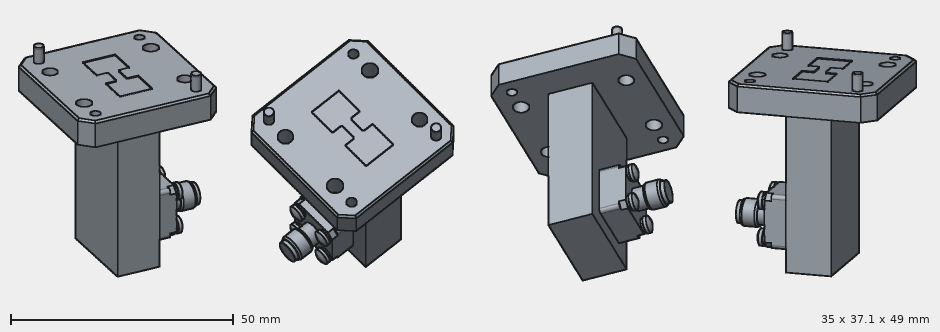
import cadquery as cq

total_height = 49.0

plate_side = 35.0
plate_thickness = 6.5
plate_corner_cut = 3.0
plate_edge_chamfer = 0.5
pin_height = 4.0
plate_top = total_height - pin_height
plate_bottom = plate_top - plate_thickness

hole_row_y = 12.7
pin_x = 13.95
pin_diameter = 2.35
pin_tip_height = 0.3
pin_tip_inset = 0.075
bolt_x = 8.4
large_bolt_diameter = 3.7
small_bolt_diameter = 3.55

window_width = 18.38
window_height = 8.2
window_depth = 0.25
ridge_width = 4.3
ridge_gap = 2.6
ridge_fillet = 0.4

column_width = 20.82
column_depth = 10.65
column_back = column_depth / 2

connector_z = 10.3
connector_tip_y = 19.6
connector_side = 12.6
connector_face_y = 11.7
connector_flange_thickness = 1.6
connector_flange_chamfer = 1.4
spacer_fillet = 0.9
spacer_length = connector_face_y - connector_flange_thickness - column_back

barrel_radius = 2.65
collar_radius = 3.2
collar_start_y = 14.55
collar_end_y = 18.55
collar_chamfer_radial = 0.25
collar_chamfer_axial = 0.55
tip_chamfer = 0.05

screw_offset = 4.25
screw_neck_radius = 1.65
screw_neck_length = 0.6
screw_head_radius = 2.0
screw_rim_length = 0.9
screw_dome_height = 0.7


def make_plate():
    plate = cq.Workplane("XY").box(plate_side, plate_side, plate_thickness, centered=(True, True, False))
    plate = plate.edges("|Z").chamfer(plate_corner_cut)
    plate = plate.faces(">Z").edges().chamfer(plate_edge_chamfer)
    return plate.translate((0, 0, plate_bottom))


def plate_hole(x, y, diameter):
    hole = cq.Workplane("XY").center(x, y).circle(diameter / 2).extrude(plate_thickness)
    return hole.translate((0, 0, plate_bottom))


def make_window():
    window = cq.Workplane("XY").rect(window_width, window_height).extrude(window_depth)
    ridge_height = (window_height - ridge_gap) / 2
    for side in (1, -1):
        ridge_y = side * (ridge_gap + ridge_height) / 2
        ridge = cq.Workplane("XY").center(0, ridge_y).rect(ridge_width, ridge_height).extrude(window_depth)
        ridge_tip = "<Y" if side > 0 else ">Y"
        ridge = ridge.faces(ridge_tip).edges("|Z").fillet(ridge_fillet)
        window = window.cut(ridge)
    return window.translate((0, 0, plate_top - window_depth))


def make_pin(x, y):
    pin = cq.Workplane("XY").center(x, y).circle(pin_diameter / 2).extrude(plate_thickness + pin_height)
    pin = pin.faces(">Z").chamfer(pin_tip_height, pin_tip_inset)
    return pin.translate((0, 0, plate_bottom))


def make_column():
    return cq.Workplane("XY").box(column_width, column_depth, plate_bottom, centered=(True, True, False))


def connector_block(start_y, length):
    """Square block centred on the connector axis, growing in +Y from start_y."""
    block = cq.Workplane("XY").box(connector_side, length, connector_side, centered=(True, False, True))
    return block.translate((0, start_y, connector_z))


def make_barrel():
    collar_edge_radius = collar_radius - collar_chamfer_radial
    profile = [
        (0, connector_face_y),
        (barrel_radius, connector_face_y),
        (barrel_radius, collar_start_y),
        (collar_edge_radius, collar_start_y),
        (collar_radius, collar_start_y + collar_chamfer_axial),
        (collar_radius, collar_end_y - collar_chamfer_axial),
        (collar_edge_radius, collar_end_y),
        (barrel_radius, collar_end_y),
        (barrel_radius, connector_tip_y - tip_chamfer),
        (barrel_radius - tip_chamfer, connector_tip_y),
        (0, connector_tip_y),
    ]
    barrel = cq.Workplane("XY").polyline(profile).close().revolve(360, (0, 0, 0), (0, 1, 0))
    return barrel.translate((0, 0, connector_z))


def make_screw(x, z):
    rim_start = screw_neck_length
    rim_end = rim_start + screw_rim_length
    head_top = rim_end + screw_dome_height
    dome_radius = (screw_head_radius**2 + screw_dome_height**2) / (2 * screw_dome_height)
    mid_x = screw_head_radius / 2
    mid_y = head_top - dome_radius + (dome_radius**2 - mid_x**2) ** 0.5
    screw = (
        cq.Workplane("XY")
        .lineTo(screw_neck_radius, 0)
        .lineTo(screw_neck_radius, rim_start)
        .lineTo(screw_head_radius, rim_start)
        .lineTo(screw_head_radius, rim_end)
        .threePointArc((mid_x, mid_y), (0, head_top))
        .close()
        .revolve(360, (0, 0, 0), (0, 1, 0))
    )
    return screw.translate((x, connector_face_y, z))


def make_connector():
    spacer = connector_block(column_back, spacer_length).edges("|Y").fillet(spacer_fillet)
    flange = connector_block(column_back + spacer_length, connector_flange_thickness)
    flange = flange.edges("|Y").chamfer(connector_flange_chamfer)
    connector = spacer.union(flange).union(make_barrel())
    for x in (-screw_offset, screw_offset):
        for z in (connector_z - screw_offset, connector_z + screw_offset):
            connector = connector.union(make_screw(x, z))
    return connector


result = make_plate()

for side in (1, -1):
    result = result.cut(plate_hole(-side * pin_x, side * hole_row_y, pin_diameter))
    result = result.cut(plate_hole(-side * bolt_x, side * hole_row_y, large_bolt_diameter))
    result = result.cut(plate_hole(side * bolt_x, side * hole_row_y, small_bolt_diameter))
    result = result.union(make_pin(side * pin_x, side * hole_row_y))

result = result.cut(make_window())
result = result.union(make_column()).union(make_connector())